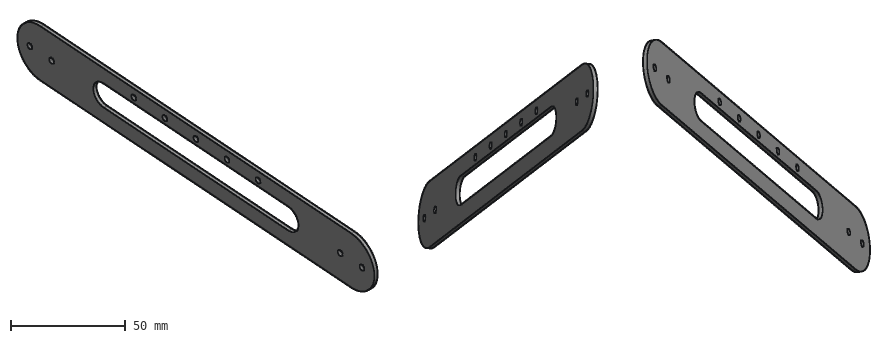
import cadquery as cq

length = 230.0
height = 30.0
thickness = 2.0

slot_length = 132.0
slot_height = 13.0

hole_diameter = 3.0
row_count = 5
row_pitch = 20.0
row_height = 10.0
outer_hole_x = 107.0
inner_hole_x = 93.0


def through_holes(points):
    """Cylinders crossing the plate thickness at the given (x, z) points."""
    return (
        cq.Workplane("XZ")
        .pushPoints(points)
        .circle(hole_diameter / 2)
        .extrude(thickness, both=True)
    )


plate = cq.Workplane("XZ").slot2D(length, height).extrude(thickness / 2, both=True)
slot = cq.Workplane("XZ").slot2D(slot_length, slot_height).extrude(thickness, both=True)

row_points = [((i - (row_count - 1) / 2) * row_pitch, row_height) for i in range(row_count)]

end_points = [(side * x, 0) for side in (-1, 1) for x in (inner_hole_x, outer_hole_x)]

result = plate.cut(slot).cut(through_holes(row_points + end_points))